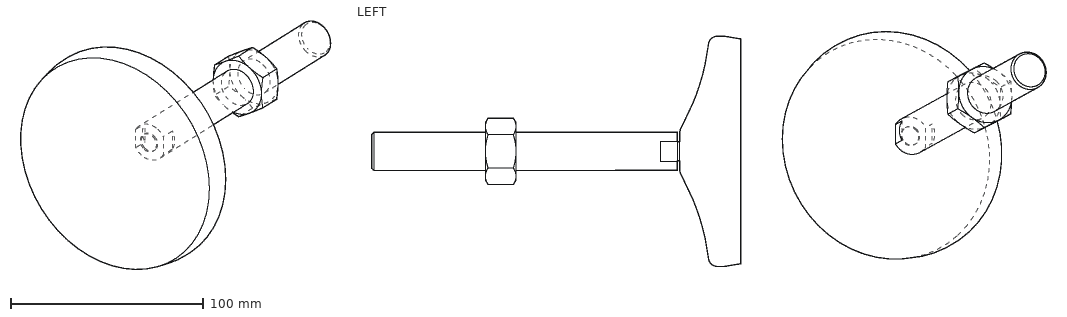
import cadquery as cq
import math

length = 192.0

pad_radius = 120.0 / 2
underside_radius = 58.5
taper_top = 8.6
band_top = 12.0
shoulder_fillet = 4.8
flank_start_angle = math.radians(7)
crown_edge_radius = 15.4
crown_edge_height = 29.5
crown_bulge_radius = 12.9
crown_bulge_height = 31.0
crown_radius = 20.0 / 2
crown_height = 31.9

neck_radius = 10.0 / 2
rod_radius = 20.0 / 2
rod_start = 33.0
rod_chamfer = 1.2
wrench_width = 17.0
wrench_length = 8.6

nut_across_flats = 30.0
nut_thickness = 16.0
nut_start = 117.0
nut_chamfer_angle = math.radians(30)


def cylinder(radius, start, end):
    """Solid cylinder along Y between two heights."""
    return cq.Workplane("XZ", origin=(0, start, 0)).circle(radius).extrude(start - end)


def make_pad():
    """Revolved pad: tapered edge, rounded rim, tangent concave flank and rounded crown."""
    shoulder_end = (
        pad_radius - shoulder_fillet * (1 - math.sin(flank_start_angle)),
        band_top + shoulder_fillet * math.cos(flank_start_angle),
    )
    profile = (
        cq.Workplane("XY")
        .lineTo(underside_radius, 0)
        .lineTo(pad_radius, taper_top)
        .lineTo(pad_radius, band_top)
        .tangentArcPoint(shoulder_end, relative=False)
        .tangentArcPoint((crown_edge_radius, crown_edge_height), relative=False)
        .threePointArc((crown_bulge_radius, crown_bulge_height), (crown_radius, crown_height))
        .lineTo(0, crown_height)
        .close()
    )
    return profile.revolve(360, (0, 0, 0), (0, 1, 0))


def make_stem():
    """Rod with a chamfered tip and two wrench flats, joined to the pad by a thin neck."""
    rod = cylinder(rod_radius, rod_start, length).faces(">Y").chamfer(rod_chamfer)
    wrench_zone = cylinder(rod_radius, rod_start, rod_start + wrench_length)
    wrench_core = cq.Workplane("XY").box(wrench_width, length, 2 * rod_radius)
    wrench_core = wrench_core.translate((0, length / 2, 0))
    neck = cylinder(neck_radius, crown_height, rod_start)
    return rod.cut(wrench_zone.cut(wrench_core)).union(neck)


def make_nut():
    """Hexagon with corners on Z, its corners trimmed by a cone at each end."""
    flat_radius = nut_across_flats / 2
    corner_radius = flat_radius / math.cos(math.pi / 6)
    corner_drop = (corner_radius - flat_radius) * math.tan(nut_chamfer_angle)
    nut_end = nut_start + nut_thickness
    hexagon = (
        cq.Workplane("XZ", origin=(0, nut_start, 0))
        .transformed(rotate=(0, 0, 90))
        .polygon(6, 2 * corner_radius)
        .extrude(-nut_thickness)
    )
    envelope = (
        cq.Workplane("XY")
        .moveTo(0, nut_start)
        .lineTo(flat_radius, nut_start)
        .lineTo(corner_radius, nut_start + corner_drop)
        .lineTo(corner_radius, nut_end - corner_drop)
        .lineTo(flat_radius, nut_end)
        .lineTo(0, nut_end)
        .close()
        .revolve(360, (0, 0, 0), (0, 1, 0))
    )
    return hexagon.intersect(envelope)


result = make_pad().union(make_stem()).union(make_nut())